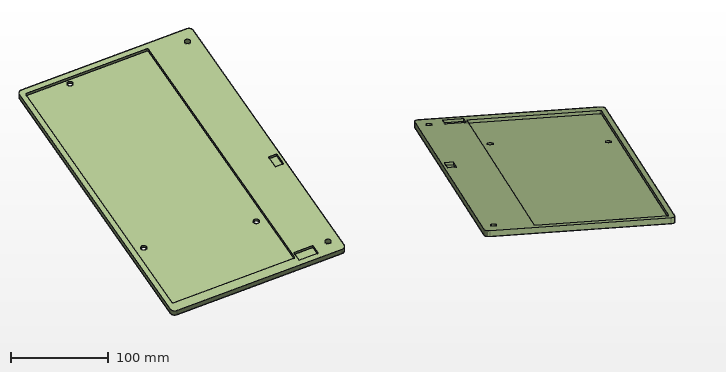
import cadquery as cq

LENGTH = 350.0
WIDTH = 200.0
THICKNESS = 6.5
CORNER_RADIUS = 5.0

TRAY_LENGTH = 332.0
TRAY_WIDTH = 141.0
TRAY_DEPTH = 3.5
TRAY_LEFT_MARGIN = 6.75
TRAY_FRONT_MARGIN = 5.8
TRAY_CORNER_RADIUS = 1.5

REAR_RECESS_LENGTH = 15.5
REAR_RECESS_WIDTH = 9.5
REAR_RECESS_DEPTH = 3.0
REAR_RECESS_CENTRE = (32.3, 92.0)

SIDE_RECESS_LENGTH = 12.0
SIDE_RECESS_WIDTH = 22.0
SIDE_RECESS_DEPTH = 3.0
SIDE_RECESS_CENTRE = (162.6, 60.0)

HOLE_DIAMETER = 6.4
REAR_HOLE_X = 158.5
REAR_HOLE_Y = 87.5
HOLE_CENTRES = [
    (-REAR_HOLE_X, REAR_HOLE_Y),
    (REAR_HOLE_X, REAR_HOLE_Y),
    (96.8, 36.4),
    (-163.2, -45.3),
    (77.6, -83.3),
]


def recess_cutter(length, width, depth, centre):
    """Box that sinks a rectangular recess into the top face."""
    return (
        cq.Workplane("XY", origin=(centre[0], centre[1], THICKNESS - depth))
        .rect(length, width)
        .extrude(depth)
    )


def make_plate():
    return (
        cq.Workplane("XY")
        .rect(LENGTH, WIDTH)
        .extrude(THICKNESS)
        .edges("|Z")
        .fillet(CORNER_RADIUS)
    )


def tray_cutter():
    """Tray recess with four rounded corners."""
    centre_x = -LENGTH / 2 + TRAY_LEFT_MARGIN + TRAY_LENGTH / 2
    centre_y = -WIDTH / 2 + TRAY_FRONT_MARGIN + TRAY_WIDTH / 2
    cutter = recess_cutter(TRAY_LENGTH, TRAY_WIDTH, TRAY_DEPTH, (centre_x, centre_y))
    return cutter.edges("|Z").fillet(TRAY_CORNER_RADIUS)


def hole_cutters():
    return (
        cq.Workplane("XY")
        .pushPoints(HOLE_CENTRES)
        .circle(HOLE_DIAMETER / 2)
        .extrude(THICKNESS)
    )


rear_recess = recess_cutter(
    REAR_RECESS_LENGTH, REAR_RECESS_WIDTH, REAR_RECESS_DEPTH, REAR_RECESS_CENTRE
)
side_recess = recess_cutter(
    SIDE_RECESS_LENGTH, SIDE_RECESS_WIDTH, SIDE_RECESS_DEPTH, SIDE_RECESS_CENTRE
)

result = (
    make_plate()
    .cut(tray_cutter())
    .cut(rear_recess)
    .cut(side_recess)
    .cut(hole_cutters())
)